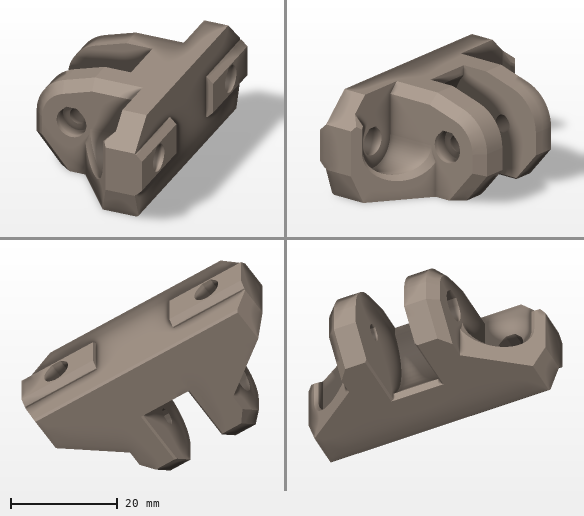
import cadquery as cq
import math

WIDTH = 49.0
HEIGHT = 20.0
PLATE_BACK = 26.65
PLATE_FRONT = 21.7
TOP_CORNER = 5.5
BOTTOM_CORNER_Y = 1.9
BOTTOM_CORNER_Z = 5.5
FOOT_CHAMFER = 0.4

PIN_X = 8.0
PIN_Z = 10.45
KNUCKLE_RADIUS = PIN_X
KNUCKLE_WIDTH = 23.0
KNUCKLE_CHAMFER = 1.95
TOP_SLOPE_DEG = 17
FRONT_FACE_BOTTOM = 6.0
UNDERSIDE_START = 5.0

SLOT_WIDTH = 10.0
SLOT_RADIUS = 12.05
SLOT_UPPER_DEPTH = 17.3
SLOT_LOWER_DEPTH = 16.45

PIN_HOLE_RADIUS = 1.65
PIN_HEAD_RADIUS = 3.05
PIN_HEAD_DEPTH = 3.0
BOLT_Y = 16.75
BOLT_Z = HEIGHT / 2
BOLT_RADIUS = 2.65
PEAK_HEIGHT = 0.15

GUSSET_INNER_X = 10.85
GUSSET_OUTER_X = 20.7
POCKET_CHAMFER = 1.0
RIM_MARGIN = 0.5

PAD_LENGTH = 15.95
PAD_HEIGHT = 8.55
PAD_THICKNESS = 1.45
PAD_CHAMFER = 1.2

HALF_WIDTH = WIDTH / 2
HALF_KNUCKLE = KNUCKLE_WIDTH / 2
POCKET_RADIUS = BOLT_Y - HALF_KNUCKLE


def peaked_hole(workplane, radius, depth):
    """Round bore whose roof rises in two 45 degree flanks to a short flat."""
    flat_z = radius + PEAK_HEIGHT
    flat_half = radius * math.sqrt(2) - flat_z
    flank = radius / math.sqrt(2)
    return (
        workplane.moveTo(-flank, flank)
        .threePointArc((0, -radius), (flank, flank))
        .lineTo(flat_half, flat_z)
        .lineTo(-flat_half, flat_z)
        .close()
        .extrude(depth)
    )


def end_outline(front, back):
    """Block with the cut-corner end outline, between two X positions."""
    top_half = HALF_WIDTH - TOP_CORNER
    bottom_half = HALF_WIDTH - BOTTOM_CORNER_Y
    shoulder_z = HEIGHT - TOP_CORNER
    return (
        cq.Workplane("YZ", origin=(front, 0, 0))
        .polyline([
            (-bottom_half, 0),
            (bottom_half, 0),
            (HALF_WIDTH, BOTTOM_CORNER_Z),
            (HALF_WIDTH, shoulder_z),
            (top_half, HEIGHT),
            (-top_half, HEIGHT),
            (-HALF_WIDTH, shoulder_z),
            (-HALF_WIDTH, BOTTOM_CORNER_Z),
        ])
        .close()
        .extrude(back - front)
    )


def make_plate():
    plate = end_outline(PLATE_FRONT, PLATE_BACK)
    return plate.faces(">X").edges("<Z").chamfer(FOOT_CHAMFER)


def make_knuckle():
    """Rounded hinge body, chamfered around both outer sides."""
    slope = math.radians(TOP_SLOPE_DEG)

    def on_knuckle(angle):
        return (
            PIN_X + KNUCKLE_RADIUS * math.cos(angle),
            PIN_Z + KNUCKLE_RADIUS * math.sin(angle),
        )

    arc_middle = on_knuckle((math.pi + math.pi / 2 + slope) / 2)
    arc_end = on_knuckle(math.pi / 2 + slope)
    slope_end_x = arc_end[0] + (HEIGHT - arc_end[1]) / math.tan(slope)
    body = (
        cq.Workplane("XZ")
        .moveTo(UNDERSIDE_START, 0)
        .lineTo(0, FRONT_FACE_BOTTOM)
        .lineTo(0, PIN_Z)
        .threePointArc(arc_middle, arc_end)
        .lineTo(slope_end_x, HEIGHT)
        .lineTo(PLATE_FRONT, HEIGHT)
        .lineTo(PLATE_FRONT, 0)
        .close()
        .extrude(HALF_KNUCKLE, both=True)
    )
    for side in ("<Y", ">Y"):
        body = body.faces(side).edges("not(<Z or >X)").chamfer(KNUCKLE_CHAMFER)
    return body


def make_slot():
    """Cutter for the gap between the ears, flared at its bottom edges."""
    half_slot = SLOT_WIDTH / 2
    upper = cq.Workplane("XY").box(
        SLOT_UPPER_DEPTH, SLOT_WIDTH, HEIGHT - PIN_Z, centered=(False, True, False)
    ).translate((0, 0, PIN_Z))
    lower = cq.Workplane("XY").box(
        SLOT_LOWER_DEPTH, SLOT_WIDTH, PIN_Z, centered=(False, True, False)
    )
    floor = (
        cq.Workplane("XZ", origin=(PIN_X, 0, PIN_Z))
        .circle(SLOT_RADIUS)
        .extrude(half_slot, both=True)
    )
    top_z = PIN_Z + math.sqrt(SLOT_RADIUS**2 - (SLOT_UPPER_DEPTH - PIN_X) ** 2)
    bottom_z = PIN_Z - math.sqrt(SLOT_RADIUS**2 - (SLOT_LOWER_DEPTH - PIN_X) ** 2)
    band = cq.Workplane("XY").box(
        PLATE_FRONT, SLOT_WIDTH, top_z - bottom_z, centered=(False, True, False)
    ).translate((0, 0, bottom_z))
    flare = (
        cq.Workplane("YZ")
        .polyline([
            (-half_slot - FOOT_CHAMFER, 0),
            (half_slot + FOOT_CHAMFER, 0),
            (half_slot, FOOT_CHAMFER),
            (-half_slot, FOOT_CHAMFER),
        ])
        .close()
        .extrude(SLOT_LOWER_DEPTH)
    )
    return upper.union(lower).union(floor.intersect(band)).union(flare)


def make_gusset():
    """Sloping gusset on the +Y side, with its open-topped bolt head pocket."""
    slope = (GUSSET_OUTER_X - GUSSET_INNER_X) / (HALF_WIDTH - HALF_KNUCKLE)
    center_x = GUSSET_INNER_X - HALF_KNUCKLE * slope
    wedge = (
        cq.Workplane("XY")
        .polyline([
            (center_x, 0),
            (GUSSET_OUTER_X, HALF_WIDTH),
            (PLATE_FRONT, HALF_WIDTH),
            (PLATE_FRONT, 0),
        ])
        .close()
        .extrude(HEIGHT)
    )
    pocket = (
        cq.Workplane("YZ", origin=(0, BOLT_Y, BOLT_Z))
        .moveTo(-POCKET_RADIUS, HEIGHT)
        .lineTo(-POCKET_RADIUS, 0)
        .threePointArc((0, -POCKET_RADIUS), (POCKET_RADIUS, 0))
        .lineTo(POCKET_RADIUS, HEIGHT)
        .close()
        .extrude(PLATE_FRONT)
    )
    pocketed = wedge.cut(pocket)
    rim_zone = cq.selectors.BoxSelector(
        (GUSSET_INNER_X, HALF_KNUCKLE + RIM_MARGIN, RIM_MARGIN),
        (GUSSET_OUTER_X, HALF_WIDTH - RIM_MARGIN, HEIGHT - RIM_MARGIN),
    )
    pocketed = pocketed.edges(rim_zone).chamfer(POCKET_CHAMFER)
    outside_knuckle = cq.Workplane("XY").box(
        PLATE_FRONT, HALF_WIDTH, HEIGHT, centered=False
    ).translate((0, HALF_KNUCKLE, 0))
    facet_top = HEIGHT - TOP_CORNER + HALF_WIDTH - (BOLT_Y + POCKET_RADIUS)
    facet = (
        cq.Workplane("XZ", origin=(0, HALF_WIDTH, 0))
        .polyline([
            (PLATE_FRONT, facet_top),
            (PLATE_FRONT, HEIGHT),
            (PLATE_FRONT - facet_top, HEIGHT),
            (PLATE_FRONT - facet_top, 0),
        ])
        .close()
        .extrude(HALF_WIDTH - BOLT_Y)
    )
    gusset = pocketed.intersect(outside_knuckle).cut(facet)
    return gusset.intersect(end_outline(0, PLATE_FRONT))


def make_pad():
    """Locating pad on the +Y end of the plate back, with bevelled long edges."""
    return (
        cq.Workplane("XY")
        .box(PAD_THICKNESS, PAD_LENGTH, PAD_HEIGHT)
        .faces(">X")
        .edges("|Y")
        .chamfer(PAD_CHAMFER)
        .translate((PLATE_BACK + PAD_THICKNESS / 2, HALF_WIDTH - PAD_LENGTH / 2, BOLT_Z))
    )


def make_bolt_hole():
    bore_plane = cq.Workplane("YZ", origin=(PLATE_FRONT, BOLT_Y, BOLT_Z))
    return peaked_hole(bore_plane, BOLT_RADIUS, PLATE_BACK + PAD_THICKNESS - PLATE_FRONT)


def make_pin_holes():
    """Pin bore through both ears, with a head recess in each outer side."""
    bore_plane = cq.Workplane("XZ", origin=(PIN_X, HALF_KNUCKLE, PIN_Z))
    near_plane = cq.Workplane("XZ", origin=(PIN_X, PIN_HEAD_DEPTH - HALF_KNUCKLE, PIN_Z))
    bore = peaked_hole(bore_plane, PIN_HOLE_RADIUS, KNUCKLE_WIDTH)
    near_head = peaked_hole(near_plane, PIN_HEAD_RADIUS, PIN_HEAD_DEPTH)
    return bore.union(near_head).union(near_head.mirror("XZ"))


result = make_plate().union(make_knuckle()).cut(make_slot())
for side_part in (make_gusset(), make_pad()):
    result = result.union(side_part).union(side_part.mirror("XZ"))
bolt_hole = make_bolt_hole()
result = result.cut(bolt_hole).cut(bolt_hole.mirror("XZ")).cut(make_pin_holes())